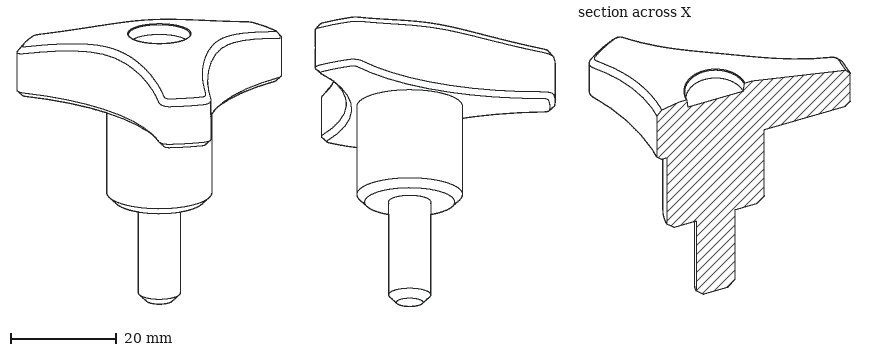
import cadquery as cq

hub_bottom = 20.0
head_bottom = 39.0
arm_tip_top = 48.5
head_top = 53.0

arm_count = 3
arm_reach = 27.5
waist_radius = 12.0
scallop_radius = 40.0
corner_radius = 2.0
crown_flat_radius = 7.45
head_chamfer = 1.0

recess_mouth_radius = 6.0
recess_floor_radius = 5.6
recess_depth = 2.0
recess_chamfer = 0.15

hub_diameter = 20.0
stud_diameter = 8.0
end_chamfer = 1.5


def make_arms():
    """Flat-topped disc, scalloped into arms with rounded corners."""
    head_height = head_top - head_bottom
    base = cq.Workplane("XY").workplane(offset=head_bottom)
    disc = base.circle(arm_reach).extrude(head_height)
    scallops = (
        base.polarArray(waist_radius + scallop_radius, -90, 360, arm_count)
        .circle(scallop_radius)
        .extrude(head_height)
    )
    return disc.cut(scallops).edges("|Z").fillet(corner_radius)


def make_crown():
    """Solid of revolution whose conical top slopes down to the arm tips."""
    return (
        cq.Workplane("YZ")
        .moveTo(0, head_bottom)
        .lineTo(arm_reach, head_bottom)
        .lineTo(arm_reach, arm_tip_top)
        .lineTo(crown_flat_radius, head_top)
        .lineTo(0, head_top)
        .close()
        .revolve(360, (0, 0), (0, 1))
    )


def make_head():
    """Arms under the conical crown, chamfered around the lower and upper rims."""
    head = make_arms().intersect(make_crown())
    head = head.faces("<Z").chamfer(head_chamfer)
    crown_edges = head.faces("%CONE").faces(">Z").edges().vals()
    upper_rim = [edge for edge in crown_edges if edge.BoundingBox().zmax < head_top - head_chamfer]
    return head.newObject(upper_rim).chamfer(head_chamfer)


def make_pin(diameter, bottom, top):
    """Round pin along Z with a chamfered lower end."""
    pin = cq.Workplane("XY").workplane(offset=bottom).circle(diameter / 2).extrude(top - bottom)
    return pin.faces("<Z").chamfer(end_chamfer)


def make_recess():
    """Blind round pocket tool with a slightly tapered wall and a chamfered mouth."""
    wall_top_radius = recess_mouth_radius - recess_chamfer
    return (
        cq.Workplane("XZ")
        .moveTo(0, head_top - recess_depth)
        .lineTo(recess_floor_radius, head_top - recess_depth)
        .lineTo(wall_top_radius, head_top - recess_chamfer)
        .lineTo(recess_mouth_radius, head_top)
        .lineTo(0, head_top)
        .close()
        .revolve(360, (0, 0), (0, 1))
    )


hub = make_pin(hub_diameter, hub_bottom, head_bottom)
stud = make_pin(stud_diameter, 0, hub_bottom)
result = make_head().union(hub).union(stud).cut(make_recess())